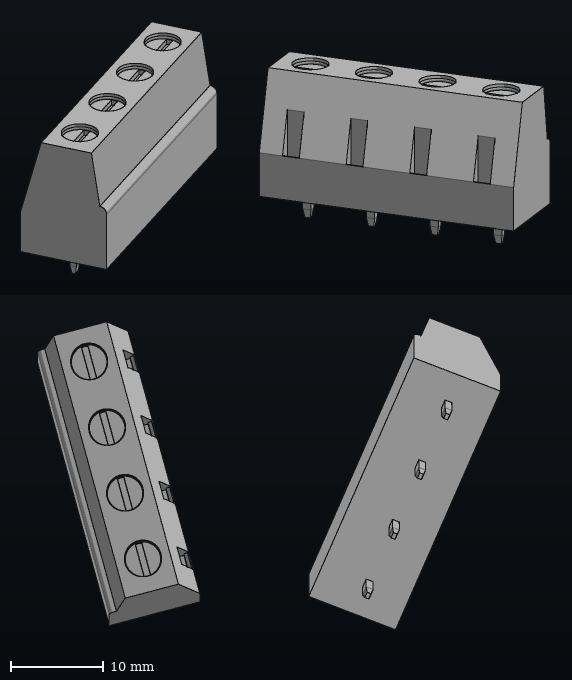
import cadquery as cq
import math

POSITIONS = 4
PITCH = 7.5
LENGTH = POSITIONS * PITCH
TERMINAL_YS = [(i + 0.5) * PITCH for i in range(POSITIONS)]

WIDTH = 10.2
HEIGHT = 14.0
FRONT_WALL_HEIGHT = 5.0
TOP_FRONT_X = 2.43
TOP_BACK_X = 8.4
LEDGE_ROUND = 0.8
LEDGE_X = WIDTH - LEDGE_ROUND
LEDGE_HEIGHT = 7.65

POCKET_WIDTH = 1.98
POCKET_BACK_X = 1.32
POCKET_LIP = 0.15
POCKET_CHAMFER = 0.4
POCKET_SUNK_DEPTH = 1.2

SCREW_X = 5.4
MOUTH_DIAMETER = 4.02
MOUTH_DEPTH = 0.35
BEAD_DIAMETER = 3.85
FACE_DEPTH = 0.72
SLOT_WIDTH = 0.72
SLOT_DEPTH = 0.6

PIN_X = 4.8
PIN_SIZE_X = 0.8
PIN_SIZE_Y = 1.02
PIN_LENGTH = 3.35
PIN_TIP_LENGTH = 1.02
PIN_SHANK_LENGTH = PIN_LENGTH - PIN_TIP_LENGTH
PIN_TIP_TAPER = 0.18


def housing_block():
    """Outer shape: one profile along the whole length, with a rounded ledge on the +X side."""
    arc_mid_offset = LEDGE_ROUND * math.sqrt(0.5)
    round_center_z = LEDGE_HEIGHT - LEDGE_ROUND
    return (
        cq.Workplane("XZ", origin=(0, LENGTH, 0))
        .moveTo(0, 0)
        .lineTo(WIDTH, 0)
        .lineTo(WIDTH, round_center_z)
        .threePointArc(
            (LEDGE_X + arc_mid_offset, round_center_z + arc_mid_offset),
            (LEDGE_X, LEDGE_HEIGHT),
        )
        .lineTo(TOP_BACK_X, HEIGHT)
        .lineTo(TOP_FRONT_X, HEIGHT)
        .lineTo(0, FRONT_WALL_HEIGHT)
        .close()
        .extrude(LENGTH)
    )


def pocket_cutter(y):
    """Pocket with a vertical back wall and a well sunk behind a chamfered front lip."""
    well_x = POCKET_LIP + POCKET_CHAMFER
    well_z = FRONT_WALL_HEIGHT - POCKET_SUNK_DEPTH
    return (
        cq.Workplane("XZ", origin=(0, y + POCKET_WIDTH / 2, 0))
        .moveTo(0, FRONT_WALL_HEIGHT)
        .lineTo(POCKET_LIP, FRONT_WALL_HEIGHT)
        .lineTo(well_x, FRONT_WALL_HEIGHT - POCKET_CHAMFER)
        .lineTo(well_x, well_z)
        .lineTo(POCKET_BACK_X, well_z)
        .lineTo(POCKET_BACK_X, HEIGHT)
        .lineTo(0, HEIGHT)
        .close()
        .extrude(POCKET_WIDTH)
    )


def screw_recess_cutter(y):
    """Round recess with a rounded bead around its wall, ending at the slotted screw face."""
    mouth_radius = MOUTH_DIAMETER / 2
    bead_radius = BEAD_DIAMETER / 2
    bead_z = HEIGHT - MOUTH_DEPTH
    face_z = HEIGHT - FACE_DEPTH
    slot_z = face_z - SLOT_DEPTH
    recess = (
        cq.Workplane("XZ", origin=(SCREW_X, y, 0))
        .moveTo(0, face_z)
        .lineTo(mouth_radius, face_z)
        .threePointArc((bead_radius, (face_z + bead_z) / 2), (mouth_radius, bead_z))
        .lineTo(mouth_radius, HEIGHT)
        .lineTo(0, HEIGHT)
        .close()
        .revolve(360, (0, 0, 0), (0, 1, 0))
    )
    slot = (
        cq.Workplane("XY", origin=(SCREW_X, y, slot_z))
        .rect(SLOT_WIDTH, MOUTH_DIAMETER)
        .extrude(SLOT_DEPTH)
    )
    slot_ends = cq.Workplane("XY", origin=(SCREW_X, y, slot_z)).circle(bead_radius).extrude(SLOT_DEPTH)
    return recess.union(slot.intersect(slot_ends))


def make_housing():
    """Housing block with one pocket and one screw recess per terminal."""
    housing = housing_block()
    for y in TERMINAL_YS:
        housing = housing.cut(pocket_cutter(y))
        housing = housing.cut(screw_recess_cutter(y))
    return housing


def make_pin(y):
    """Rectangular solder pin hanging from the housing underside, with a tapered tip."""
    shank = (
        cq.Workplane("XY", origin=(PIN_X, y, -PIN_SHANK_LENGTH))
        .rect(PIN_SIZE_X, PIN_SIZE_Y)
        .extrude(PIN_SHANK_LENGTH)
    )
    tip = (
        cq.Workplane("XY", origin=(PIN_X, y, -PIN_SHANK_LENGTH))
        .rect(PIN_SIZE_X, PIN_SIZE_Y)
        .workplane(offset=-PIN_TIP_LENGTH)
        .rect(PIN_SIZE_X - 2 * PIN_TIP_TAPER, PIN_SIZE_Y - 2 * PIN_TIP_TAPER)
        .loft(ruled=True)
    )
    return shank.union(tip)


housing = make_housing()
pins = [make_pin(y) for y in TERMINAL_YS]

result = cq.Compound.makeCompound([housing.val(), *[pin.val() for pin in pins]])